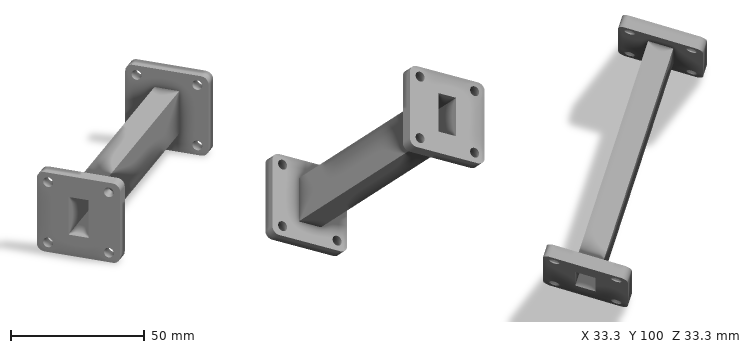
import cadquery as cq

total_length = 100.0
flange_side = 33.3
flange_thickness = 5.0
flange_corner_radius = 3.0

channel_width = 7.9
channel_height = 15.8
tube_wall = 1.0
tube_width = channel_width + 2 * tube_wall
tube_height = channel_height + 2 * tube_wall
tube_length = total_length - 2 * flange_thickness

bolt_hole_diameter = 4.0
bolt_spacing_x = 24.3
bolt_spacing_z = 25.3


def make_flange(center_y):
    """Rounded square plate with the channel window and four bolt holes."""
    plate = cq.Workplane("XY").box(flange_side, flange_thickness, flange_side)
    plate = plate.edges("|Y").fillet(flange_corner_radius)
    window = cq.Workplane("XY").box(channel_width, flange_thickness, channel_height)
    bolt_holes = (
        cq.Workplane("XZ")
        .rect(bolt_spacing_x, bolt_spacing_z, forConstruction=True)
        .vertices()
        .circle(bolt_hole_diameter / 2)
        .extrude(flange_thickness, both=True)
    )
    return plate.cut(window).cut(bolt_holes).translate((0, center_y, 0))


def make_tube():
    """Straight rectangular tube that butts against both flanges."""
    outside = cq.Workplane("XY").box(tube_width, tube_length, tube_height)
    channel = cq.Workplane("XY").box(channel_width, tube_length, channel_height)
    return outside.cut(channel)


tube = make_tube()

flange_offset = (total_length - flange_thickness) / 2
flanges = [make_flange(side * flange_offset) for side in (-1, 1)]

result = cq.Compound.makeCompound([tube.val(), *[flange.val() for flange in flanges]])